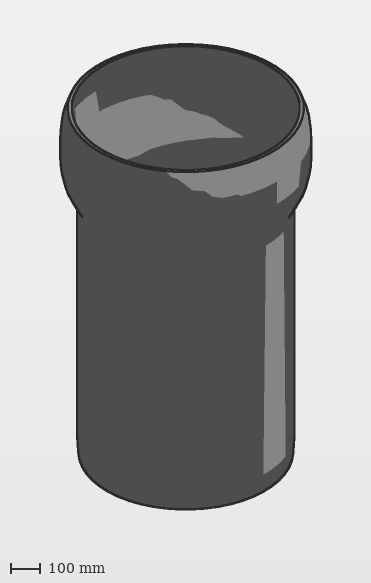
import cadquery as cq
import math

length = 1370.0
pipe_diameter = 730.0
bore_diameter = 697.0
socket_diameter = 843.0
taper_height = 70.0
taper_depth = 4.0
neck_start = 978.0
neck_end = 1173.0
band_top = 1262.0
rim_width = 14.0
bulge_radius = 247.0

pipe_radius = pipe_diameter / 2
bore_radius = bore_diameter / 2
wall = pipe_radius - bore_radius
socket_radius = socket_diameter / 2

neck_height = neck_end - neck_start
neck_step = socket_radius - pipe_radius
throat_radius = (neck_height**2 + neck_step**2) / (2 * neck_step) - bulge_radius
neck_angle = math.asin(neck_height / (bulge_radius + throat_radius))


def bulge_point(offset, angle, center_z):
    """Point on a bulge arc; offset moves it inwards and angle rises from horizontal."""
    radius = bulge_radius - offset
    center_r = socket_radius - bulge_radius
    return (center_r + radius * math.cos(angle), center_z + radius * math.sin(angle))


def throat_point(offset, angle):
    """Point on the concave throat arc, with angle measured up from the pipe end."""
    radius = throat_radius + offset
    center_r = pipe_radius + throat_radius
    return (center_r - radius * math.cos(angle), neck_start + radius * math.sin(angle))


rim_height = length - band_top
rim_angle = math.asin(rim_height / bulge_radius)
outer_rim = bulge_point(0, rim_angle, band_top)

band_inner_radius = socket_radius - wall
inner_rim_radius = outer_rim[0] - rim_width
inner_rim_step = band_inner_radius - inner_rim_radius
lip_radius = (rim_height**2 + inner_rim_step**2) / (2 * inner_rim_step)
half_lip_angle = math.asin(rim_height / lip_radius) / 2
inner_lip_middle = (
    band_inner_radius - lip_radius * (1 - math.cos(half_lip_angle)),
    band_top + lip_radius * math.sin(half_lip_angle),
)

profile = (
    cq.Workplane("XZ")
    .moveTo(bore_radius - taper_depth, 0)
    .lineTo(pipe_radius - taper_depth, 0)
    .lineTo(pipe_radius, taper_height)
    .lineTo(pipe_radius, neck_start)
    .threePointArc(throat_point(0, neck_angle / 2), throat_point(0, neck_angle))
    .threePointArc(bulge_point(0, -neck_angle / 2, neck_end), (socket_radius, neck_end))
    .lineTo(socket_radius, band_top)
    .threePointArc(bulge_point(0, rim_angle / 2, band_top), outer_rim)
    .lineTo(inner_rim_radius, length)
    .threePointArc(inner_lip_middle, (band_inner_radius, band_top))
    .lineTo(band_inner_radius, neck_end)
    .threePointArc(bulge_point(wall, -neck_angle / 2, neck_end), bulge_point(wall, -neck_angle, neck_end))
    .threePointArc(throat_point(wall, neck_angle / 2), (bore_radius, neck_start))
    .lineTo(bore_radius, taper_height)
    .close()
)

result = profile.revolve(360, (0, 0, 0), (0, 1, 0))